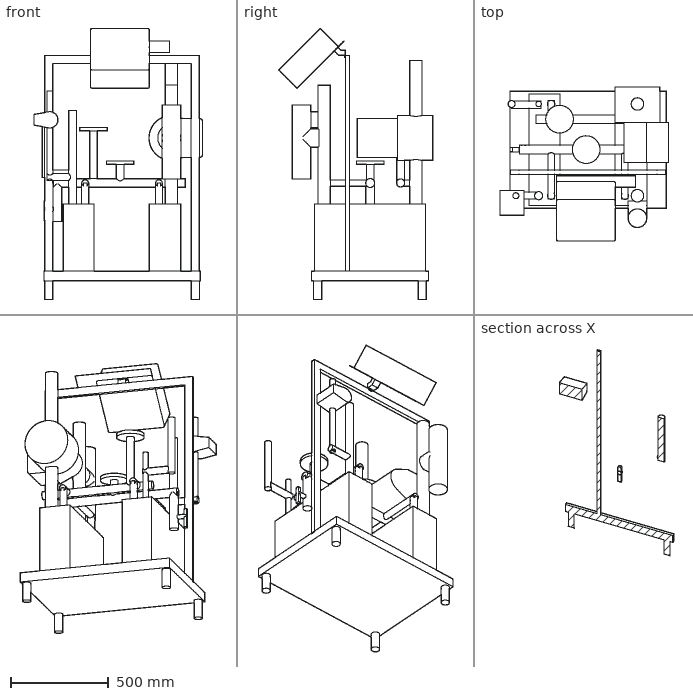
import cadquery as cq
import math


def pipe(start, end, diameter):
    """Solid round bar between two points."""
    axis = cq.Vector(*end) - cq.Vector(*start)
    return cq.Workplane(cq.Solid.makeCylinder(diameter / 2, axis.Length, cq.Vector(*start), axis))


def block(x_range, y_range, z_range):
    """Box given by its limits along X, Y and Z."""
    lows, highs = zip(x_range, y_range, z_range)
    sizes = [high - low for low, high in zip(lows, highs)]
    return cq.Workplane().box(*sizes, centered=False).translate(lows)


def upper_tangent_point(radius, corner_x, corner_y):
    """Point where the upper tangent from an outside corner touches a circle about the origin."""
    distance = math.hypot(corner_x, corner_y)
    turn = math.acos(radius / distance)
    toward_corner = math.atan2(corner_y, corner_x)
    angle = toward_corner + math.copysign(turn, corner_x)
    return radius * math.cos(angle), radius * math.sin(angle)


def round_housing(radius, corners, center, length):
    """Housing along Y: a round end that runs tangentially into a symmetric square end."""
    touch_x, touch_z = upper_tangent_point(radius, *corners[0])
    round_tip = (-math.copysign(radius, corners[0][0]), 0)
    outline = cq.Workplane("XZ", origin=center).moveTo(touch_x, -touch_z)
    outline = outline.threePointArc(round_tip, (touch_x, touch_z))
    for x, z in corners:
        outline = outline.lineTo(x, z)
    for x, z in reversed(corners):
        outline = outline.lineTo(x, -z)
    return outline.close().extrude(length)


base_length = 800.0
base_width = 599.0
base_bottom = 95.0
base_top = 145.0
leg_diameter = 43.0
leg_x = 374.0
leg_y = 267.0

frame_half_width = 395.0
frame_bar = 42.0
frame_top = 1247.0
frame_front = -125.0
frame_back = -104.0

tank_half_width = 284.0
tank_top = 489.0
left_tank_x = (-300.0, -143.0)
right_tank_x = (139.0, 300.0)

row_y = 234.0

exhaust_x = 252.0
exhaust_diameter = 64.0
front_exhaust_top = 1096.0
back_exhaust_top = 1222.0
fan_z = 826.0
muffler_diameter = 95.0
muffler_y = -349.0
muffler_bottom = 615.0
muffler_top = 995.0
muffler_inlet_y = -260.0
drum_diameter = 230.0
drum_front = 140.0
drum_back = 321.0
blower_front = -65.0
blower_diameter = 140.0
blower_half_height = 100.0
blower_shoulder_x = 299.0
blower_end_x = 412.0
blower_corner_radius = 15.0

header_z = 596.0
header_end_x = 323.0
back_header_y = 157.0
back_header_x = -265.0
back_header_diameter = 42.0
front_header_y = 1.0
front_header_x = -350.0
front_header_diameter = 46.0
flange_diameter = 141.0
flange_thickness = 18.0
riser_diameter = 40.0
back_riser_x = -145.0
back_riser_top = 880.0
front_riser_x = -10.0
front_riser_top = 710.0

branch_x = 188.0
branch_diameter = 33.0
drop_diameter = 37.0
branch_end_y = row_y + branch_diameter / 2

drain_x = -330.0
drain_bottom = 399.0
stem_diameter = 24.0
stem_z = 463.0
lever_x = -399.0
lever_thickness = 12.0
lever_width = 21.0
lever_bottom = 403.0
lever_top = 503.0

stand_x = -252.0
stand_diameter = 42.0
stand_top = 967.0
valve_x = -369.0
valve_pipe_diameter = 30.0
valve_pipe_bottom = 610.0
valve_pipe_top = 1065.0
valve_link_z = 626.0
valve_link_diameter = 36.0
valve_z = 919.0
valve_radius = 42.0
valve_half_height = 28.0
valve_end_x = -450.0
valve_back = -206.0
valve_length = 127.0
vent_x = -391.0
vent_diameter = 36.0
vent_bottom = 624.0
vent_top = 919.0
vent_link_y = 230.0
vent_link_z = 644.0
vent_link_diameter = 37.0
vent_link_end_x = -240.0
vent_stand_diameter = 28.0
vent_stand_top = 745.0

tilt_angle = math.radians(45)
tilt = math.sin(tilt_angle)
overall_height = 1385.0
box_size = 300.0
box_depth = 133.0
box_x = -11.0
box_top_y = -254.0
box_corner_radius = 11.0
plate_thickness = 2.1
plate_end_x = 242.0
plate_above = 40.0
plate_below = 43.0
pad_diameter = 33.0
pad_length = 5.0
pad_z = 1254.0
arm_width = 40.0
arm_thickness = 28.0
arm_z = 1261.0
arm_bend_y = -154.0


def make_base():
    """Base plate with its legs."""
    base = block(
        (-base_length / 2, base_length / 2), (-base_width / 2, base_width / 2), (base_bottom, base_top)
    )
    for x in (-leg_x, leg_x):
        for y in (-leg_y, leg_y):
            base = base.union(pipe((x, y, 0), (x, y, base_bottom), leg_diameter))
    return base


def make_frame():
    """Portal frame standing on the base plate."""
    depth = (frame_front, frame_back)
    inner = frame_half_width - frame_bar
    portal = block((-frame_half_width, frame_half_width), depth, (base_top, frame_top))
    return portal.cut(block((-inner, inner), depth, (base_top, frame_top - frame_bar)))


def make_tanks():
    """Two rectangular tanks."""
    y_range = (-tank_half_width, tank_half_width)
    return [block(x_range, y_range, (base_top, tank_top)) for x_range in (left_tank_x, right_tank_x)]


def make_exhausts():
    """Two exhaust pipes, the muffler in front and the drum with the blower behind."""
    x = exhaust_x
    front_pipe = pipe((x, -row_y, tank_top), (x, -row_y, front_exhaust_top), exhaust_diameter)
    back_pipe = pipe((x, row_y, tank_top), (x, row_y, back_exhaust_top), exhaust_diameter)
    muffler = pipe((x, muffler_y, muffler_bottom), (x, muffler_y, muffler_top), muffler_diameter)
    muffler = muffler.rotate((x, muffler_y, 0), (x, muffler_y, 1), -90)
    inlet = pipe((x, muffler_inlet_y, fan_z), (x, muffler_y, fan_z), muffler_diameter)
    drum = pipe((x, drum_front, fan_z), (x, drum_back, fan_z), drum_diameter)
    corners = [(blower_shoulder_x - x, blower_half_height), (blower_end_x - x, blower_half_height)]
    blower = round_housing(
        blower_diameter / 2, corners, (x, drum_front, fan_z), drum_front - blower_front
    )
    blower = blower.edges("|Y and >X").fillet(blower_corner_radius)
    return [front_pipe, back_pipe, muffler, inlet, drum, blower]


def make_header(start_x, y, diameter, riser_x, riser_top, branch_end):
    """Header pipe with a flanged riser and two branches down to the tanks."""
    flange_bottom = riser_top - flange_thickness
    bars = [
        pipe((start_x, y, header_z), (header_end_x, y, header_z), diameter),
        pipe((riser_x, y, header_z), (riser_x, y, flange_bottom), riser_diameter),
        pipe((riser_x, y, flange_bottom), (riser_x, y, riser_top), flange_diameter),
    ]
    drop_y = math.copysign(row_y, branch_end)
    for x in (-branch_x, branch_x):
        bars.append(pipe((x, y, header_z), (x, branch_end, header_z), branch_diameter))
        bars.append(pipe((x, drop_y, tank_top), (x, drop_y, header_z), drop_diameter))
    return bars


def make_drain():
    """Drain pipe with a stem and a flat lever with a round upper end."""
    y = front_header_y
    drain = pipe((drain_x, y, drain_bottom), (drain_x, y, header_z), front_header_diameter)
    stem = pipe((lever_x, y, stem_z), (drain_x, y, stem_z), stem_diameter)
    round_z = lever_top - lever_width / 2
    lever_range = (lever_x, lever_x + lever_thickness)
    lever = block(lever_range, (y - lever_width / 2, y + lever_width / 2), (lever_bottom, round_z))
    lever_end = pipe((lever_range[0], y, round_z), (lever_range[1], y, round_z), lever_width)
    return [drain, stem, lever, lever_end]


def make_valve_group():
    """Front stand pipe linked to the valve pipe, which carries the valve body."""
    y = -row_y
    stand = pipe((stand_x, y, tank_top), (stand_x, y, stand_top), stand_diameter)
    link_start_x = valve_x - valve_pipe_diameter / 2
    link = pipe((link_start_x, y, valve_link_z), (stand_x, y, valve_link_z), valve_link_diameter)
    riser = pipe((valve_x, y, valve_pipe_bottom), (valve_x, y, valve_pipe_top), valve_pipe_diameter)
    corners = [(valve_end_x - valve_x, valve_half_height)]
    body = round_housing(valve_radius, corners, (valve_x, valve_back, valve_z), valve_length)
    return [stand, link, riser, body]


def make_vent_group():
    """Back vent pipe linked to a thin stand pipe on the left tank."""
    vent = pipe((vent_x, row_y, vent_bottom), (vent_x, row_y, vent_top), vent_diameter)
    link = pipe(
        (vent_x, vent_link_y, vent_link_z), (vent_link_end_x, vent_link_y, vent_link_z), vent_link_diameter
    )
    stand = pipe((stand_x, row_y, tank_top), (stand_x, row_y, vent_stand_top), vent_stand_diameter)
    return [vent, link, stand]


def make_control_box():
    """Tilted control box with its back plate, fixed to the frame by a round pad and a bent arm."""
    corner_y = box_top_y + box_depth * tilt
    corner_z = overall_height - box_depth * tilt
    back = cq.Plane(origin=(box_x, corner_y, corner_z), xDir=(1, 0, 0), normal=(0, -tilt, tilt))
    box = cq.Workplane(back).center(0, -box_size / 2).rect(box_size, box_size).extrude(box_depth)
    box = box.edges(cq.selectors.ParallelDirSelector(back.zDir)).fillet(box_corner_radius)
    plate_left = -box_size / 2
    plate_size = (plate_end_x - box_x - plate_left, plate_above + plate_below)
    plate = cq.Workplane(back).center(plate_left, -plate_below)
    plate = plate.rect(*plate_size, centered=False).extrude(plate_thickness)

    pad = pipe((box_x, frame_front, pad_z), (box_x, frame_front - pad_length, pad_z), pad_diameter)
    bend = cq.Vector(box_x, arm_bend_y, arm_z)
    reach = (back.origin - bend).dot(back.zDir) + plate_thickness
    return [box, plate, pad, make_arm(reach)]


def make_arm(reach):
    """Flat bar that leaves the frame level and bends up by 45 degrees toward the box."""
    half = arm_thickness / 2
    miter = half * math.tan(tilt_angle / 2)
    end_y = arm_bend_y - reach * tilt
    end_z = arm_z + reach * tilt
    outline = [
        (frame_front, arm_z - half),
        (arm_bend_y - miter, arm_z - half),
        (end_y - half * tilt, end_z - half * tilt),
        (end_y + half * tilt, end_z + half * tilt),
        (arm_bend_y + miter, arm_z + half),
        (frame_front, arm_z + half),
    ]
    profile = cq.Workplane("YZ", origin=(box_x, 0, 0)).polyline(outline).close()
    return profile.extrude(arm_width / 2, both=True)


back_header = make_header(
    back_header_x, back_header_y, back_header_diameter, back_riser_x, back_riser_top, branch_end_y
)
front_header = make_header(
    front_header_x, front_header_y, front_header_diameter, front_riser_x, front_riser_top, -branch_end_y
)

result = make_base().union(make_frame())
groups = [
    make_tanks(),
    make_exhausts(),
    back_header,
    front_header,
    make_drain(),
    make_valve_group(),
    make_vent_group(),
    make_control_box(),
]
for group in groups:
    for member in group:
        result = result.union(member)